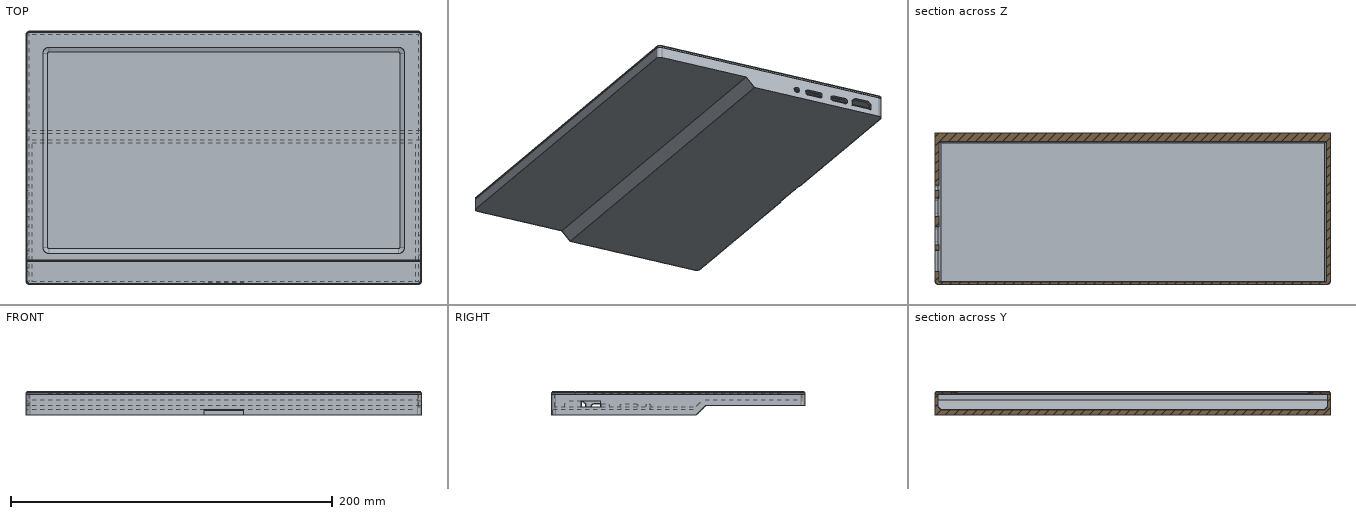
import cadquery as cq

LENGTH = 246.4
DEPTH = 158.0
HEIGHT = 14.5
CORNER_RADIUS = 2.5
FRONT_Y = -DEPTH / 2
BACK_Y = DEPTH / 2
LEFT_X = -LENGTH / 2
RIGHT_X = LENGTH / 2

COVER_THICKNESS = 1.7
COVER_CHAMFER = 0.7
SEAM_CHAMFER = 0.5
CHIN_DEPTH = 14.8
HOUSING_TOP = HEIGHT - COVER_THICKNESS
SEAM_Y = FRONT_Y + CHIN_DEPTH

WINDOW_SIDE_MARGIN = 10.5
WINDOW_BACK_MARGIN = 10.0
WINDOW_FRONT_MARGIN = 19.5
WINDOW_RADIUS = 3.7
WINDOW_LENGTH = LENGTH - 2 * WINDOW_SIDE_MARGIN
WINDOW_DEPTH = DEPTH - WINDOW_BACK_MARGIN - WINDOW_FRONT_MARGIN
WINDOW_Y = (WINDOW_FRONT_MARGIN - WINDOW_BACK_MARGIN) / 2
BEVEL_WIDTH = 3.0
BEVEL_DROP = 1.0
SCREEN_LENGTH = WINDOW_LENGTH - 2 * BEVEL_WIDTH
SCREEN_DEPTH = WINDOW_DEPTH - 2 * BEVEL_WIDTH
SCREEN_RADIUS = WINDOW_RADIUS - BEVEL_WIDTH
SCREEN_TOP = HEIGHT - BEVEL_DROP

THICK_DEPTH = 90.2
STEP_HEIGHT = 6.0
WALL = 2.0
FLOOR_TOP = 3.5
FLOOR_BEVEL = 1.7
STEP_START_Y = FRONT_Y + THICK_DEPTH
STEP_END_Y = STEP_START_Y + STEP_HEIGHT

PORT_BOTTOM = FLOOR_TOP
PORT_HEIGHT = 3.5
PORT_Z = PORT_BOTTOM + PORT_HEIGHT / 2
JACK_DISTANCE = 60.4
SLOT_DISTANCES = (30.5, 48.3)
SLOT_LENGTH = 11.5
VIDEO_PORT_DISTANCE = 14.8
VIDEO_PORT_LENGTH = 13.0
VIDEO_PORT_HEIGHT = 5.2
VIDEO_PORT_TOP_LENGTH = 8.9
VIDEO_PORT_SHOULDER = 1.7

SIDE_SLOT_DISTANCE = 24.6
SIDE_SLOT_LENGTH = 12.0
SIDE_SLOT_BOTTOM = FLOOR_TOP + FLOOR_BEVEL
SIDE_SLOT_HEIGHT = 3.5

RECESS_LENGTH = 25.0
RECESS_HEIGHT = 3.5
RECESS_DEPTH = 0.5
RECESS_BEVEL = 0.7


def box(x_range, y_range, z_range):
    """Box between the given limits on each axis."""
    size = [high - low for low, high in (x_range, y_range, z_range)]
    corner = (x_range[0], y_range[0], z_range[0])
    return cq.Workplane("XY").box(*size, centered=False).translate(corner)


def rounded_plate(length, depth, radius, bottom, top):
    """Plate centred on X and Y with rounded vertical corners."""
    plate = cq.Workplane("XY").workplane(offset=bottom).rect(length, depth).extrude(top - bottom)
    return plate.edges("|Z").fillet(radius)


def step_profile(inset, floor):
    """Side outline, shrunk by inset at the ends and with its thick floor at the given height."""
    front = FRONT_Y + inset
    back = BACK_Y - inset
    outline = [
        (front, floor),
        (STEP_START_Y - inset, floor),
        (STEP_END_Y - inset, floor + STEP_HEIGHT),
        (back, floor + STEP_HEIGHT),
        (back, HOUSING_TOP),
        (front, HOUSING_TOP),
    ]
    return cq.Workplane("YZ").polyline(outline).close()


def make_cavity():
    """Open-topped hollow of the housing, bevelled where the thick floor meets the end walls."""
    half_length = RIGHT_X - WALL
    across = [
        (-half_length, HOUSING_TOP),
        (-half_length, FLOOR_TOP + FLOOR_BEVEL),
        (-half_length + FLOOR_BEVEL, FLOOR_TOP),
        (half_length - FLOOR_BEVEL, FLOOR_TOP),
        (half_length, FLOOR_TOP + FLOOR_BEVEL),
        (half_length, HOUSING_TOP),
    ]
    end_shape = cq.Workplane("XZ").polyline(across).close().extrude(DEPTH / 2, both=True)
    return step_profile(WALL, FLOOR_TOP).extrude(half_length, both=True).intersect(end_shape)


def left_wall_sketch(distance, z):
    """Workplane on the outer face of the left wall, with local X along +Y and local Y up."""
    return cq.Workplane("YZ", origin=(LEFT_X, FRONT_Y + distance, z))


def make_ports():
    """Cutters for the round jack, the two slots and the stepped video port."""
    cutters = left_wall_sketch(JACK_DISTANCE, PORT_Z).circle(PORT_HEIGHT / 2).extrude(WALL)
    for distance in SLOT_DISTANCES:
        slot = left_wall_sketch(distance, PORT_Z).slot2D(SLOT_LENGTH, PORT_HEIGHT).extrude(WALL)
        cutters = cutters.add(slot)
    half_bottom = VIDEO_PORT_LENGTH / 2
    half_top = VIDEO_PORT_TOP_LENGTH / 2
    shoulder_z = VIDEO_PORT_HEIGHT - VIDEO_PORT_SHOULDER
    outline = [
        (-half_bottom, 0),
        (half_bottom, 0),
        (half_bottom, shoulder_z),
        (half_top, VIDEO_PORT_HEIGHT),
        (-half_top, VIDEO_PORT_HEIGHT),
        (-half_bottom, shoulder_z),
    ]
    video_port = left_wall_sketch(VIDEO_PORT_DISTANCE, PORT_BOTTOM).polyline(outline).close().extrude(WALL)
    return cutters.add(video_port).combine()


def make_side_slot():
    """Cutter for the rectangular opening in the right wall."""
    start_y = FRONT_Y + SIDE_SLOT_DISTANCE - SIDE_SLOT_LENGTH / 2
    return box(
        (RIGHT_X - WALL, RIGHT_X),
        (start_y, start_y + SIDE_SLOT_LENGTH),
        (SIDE_SLOT_BOTTOM, SIDE_SLOT_BOTTOM + SIDE_SLOT_HEIGHT),
    )


def make_recess():
    """Cutter for the finger recess, whose back face leans inward just below the ceiling."""
    back = FRONT_Y + RECESS_DEPTH
    outline = [
        (FRONT_Y, 0),
        (back, 0),
        (back, RECESS_HEIGHT - RECESS_BEVEL),
        (back + RECESS_BEVEL, RECESS_HEIGHT),
        (FRONT_Y, RECESS_HEIGHT),
    ]
    return cq.Workplane("YZ").polyline(outline).close().extrude(RECESS_LENGTH / 2, both=True)


def make_housing():
    """Hollow stepped case with ports in its walls."""
    block = rounded_plate(LENGTH, DEPTH, CORNER_RADIUS, 0, HOUSING_TOP)
    housing = block.intersect(step_profile(0, 0).extrude(LENGTH / 2, both=True))
    return housing.cut(make_cavity()).cut(make_ports()).cut(make_side_slot()).cut(make_recess())


def make_cover(start_y, end_y, seam_side):
    """Stretch of the top cover between two Y limits, chamfered around its rim and along the seam."""
    plate = rounded_plate(LENGTH, DEPTH, CORNER_RADIUS, HOUSING_TOP, HEIGHT)
    plate = plate.faces(">Z").edges().chamfer(COVER_CHAMFER)
    stretch = box((LEFT_X, RIGHT_X), (start_y, end_y), (HOUSING_TOP, HEIGHT))
    return plate.intersect(stretch).faces(">Z").edges(seam_side).chamfer(SEAM_CHAMFER)


def make_window():
    """Cutter for the window: a bevelled upper part and a straight lower part."""
    straight = make_screen()
    bevelled = (
        cq.Workplane("XY", origin=(0, WINDOW_Y, SCREEN_TOP))
        .placeSketch(
            cq.Sketch().rect(SCREEN_LENGTH, SCREEN_DEPTH).vertices().fillet(SCREEN_RADIUS),
            cq.Sketch()
            .rect(WINDOW_LENGTH, WINDOW_DEPTH)
            .vertices()
            .fillet(WINDOW_RADIUS)
            .moved(cq.Location(cq.Vector(0, 0, BEVEL_DROP))),
        )
        .loft()
    )
    return straight.union(bevelled)


def make_screen():
    """Flat panel filling the lower part of the window."""
    panel = rounded_plate(SCREEN_LENGTH, SCREEN_DEPTH, SCREEN_RADIUS, HOUSING_TOP, SCREEN_TOP)
    return panel.translate((0, WINDOW_Y, 0))


housing = make_housing()
frame = make_cover(SEAM_Y, BACK_Y, "<Y").cut(make_window())
chin = make_cover(FRONT_Y, SEAM_Y, ">Y")
screen = make_screen()

result = cq.Compound.makeCompound([housing.val(), frame.val(), chin.val(), screen.val()])